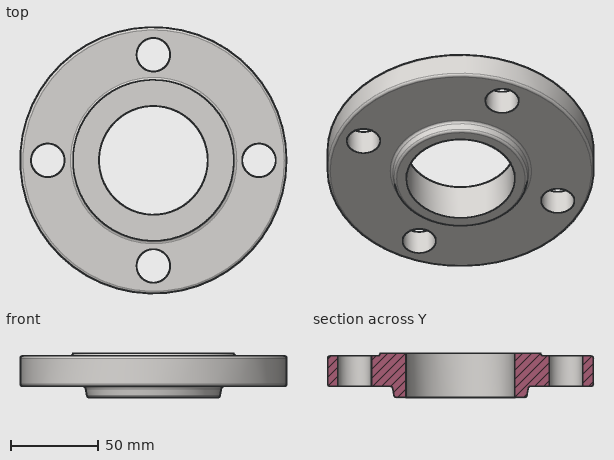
import cadquery as cq

flange_diameter = 152.4
flange_thickness = 17.5
hub_root_diameter = 78.2
hub_height = 6.4
hub_draft_angle = 10
raised_face_diameter = 92.0
raised_face_height = 1.5
bore_diameter = 62.0
bolt_hole_diameter = 19.0
bolt_circle_diameter = 120.7
bolt_hole_count = 4
edge_radius = 1.5
hub_root_radius = 1.5

flange_top = hub_height + flange_thickness
total_height = flange_top + raised_face_height


def disc(diameter, height, base_z):
    """Solid disc on the Z axis, starting at base_z."""
    return cq.Workplane("XY").workplane(offset=base_z).circle(diameter / 2).extrude(height)


def raised_face_fillet():
    """Concave ring blending the full height of the raised face into the flange."""
    inner = raised_face_diameter / 2
    outer = inner + raised_face_height
    mid_offset = raised_face_height * (1 - 0.5 ** 0.5)
    return (
        cq.Workplane("XZ")
        .moveTo(inner, flange_top)
        .lineTo(outer, flange_top)
        .threePointArc(
            (inner + mid_offset, flange_top + mid_offset),
            (inner, total_height),
        )
        .close()
        .revolve(360, (0, 0, 0), (0, 1, 0))
    )


flange = disc(flange_diameter, flange_thickness, hub_height).edges().fillet(edge_radius)

hub = (
    cq.Workplane("XY")
    .workplane(offset=hub_height)
    .circle(hub_root_diameter / 2)
    .extrude(-hub_height, taper=hub_draft_angle)
    .faces("<Z")
    .edges()
    .fillet(edge_radius)
)

body = flange.union(hub)
selection_margin = 0.2
level_with_hub_root = cq.selectors.BoxSelector(
    (-flange_diameter, -flange_diameter, hub_height - selection_margin),
    (flange_diameter, flange_diameter, hub_height + selection_margin),
)
body = body.edges(level_with_hub_root).edges(cq.selectors.RadiusNthSelector(0)).fillet(hub_root_radius)

body = body.union(disc(raised_face_diameter, raised_face_height, flange_top)).union(raised_face_fillet())

bore = disc(bore_diameter, total_height, 0)
bolt_holes = (
    cq.Workplane("XY")
    .polarArray(bolt_circle_diameter / 2, 0, 360, bolt_hole_count)
    .circle(bolt_hole_diameter / 2)
    .extrude(total_height)
)
result = body.cut(bore).cut(bolt_holes)